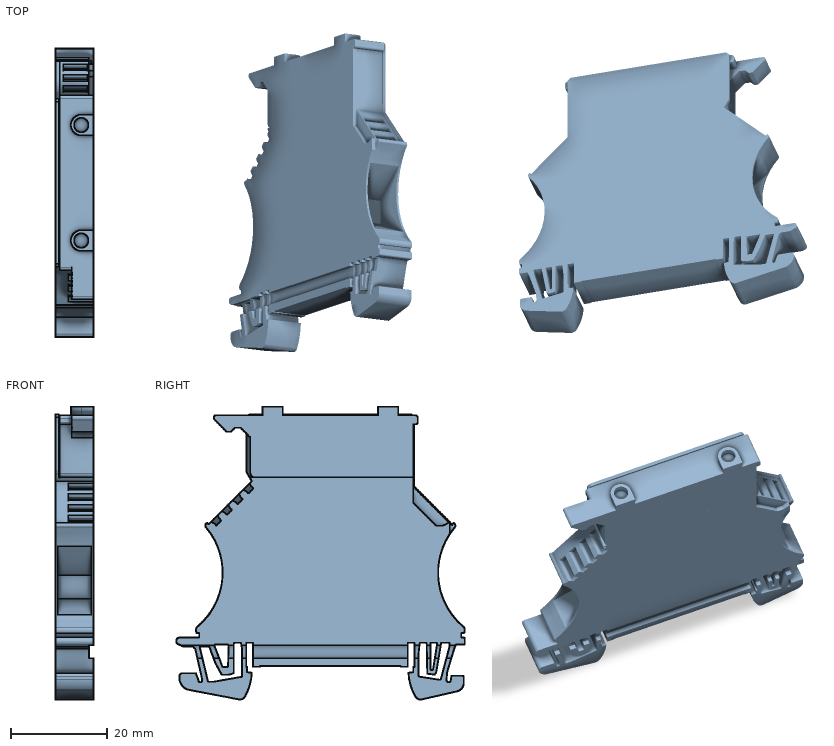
import cadquery as cq
import math

WIDTH = 7.9
TOTAL_HEIGHT = 60.94
WALL = 0.7
WALL_GAP = 0.15
INSET = 0.2

TOP_HALF = 17.45
WALL_TOP = 59.35
WALL_CORNER = 0.65
SHOULDER_SUM = 61.75
NECK_Y = 16.35
UNDERCUT_TOP_Z = 47.6
UNDERCUT_ROUND_MIDDLE = (-17.4, 47.25)
UNDERCUT_ROUND_END = (-17.25, 47.0)
UNDERCUT_BEND = (-16.65, 45.95)

NIB_ROOT_Y = 25.3
NIB_RISE = 0.3
NIB_TIP = (25.88, 36.55)
NIB_LOW_Z = 35.95

GRIP_RADIUS = 14.6
GRIP_MID_Y = 22.4
GRIP_MID_Z = 26.4
GRIP_CENTER_Y = GRIP_MID_Y + GRIP_RADIUS

RIM_Y = 27.95
RIM_TOP_Z = 15.1
NOTCH_Y = 27.25
NOTCH_TOP_Z = 13.85
NOTCH_LOW_Z = 12.95
LIP_ROUND = 0.3
CORE_BOTTOM_Z = 11.45

SKIRT_HALF = 16.1
SKIRT_BOTTOM_Z = 6.85
SKIRT_PAD = 1.5
SKIRT_PAD_HEIGHT = 0.15
SLOT_TOP_Z = 11.85
SLOT_ROUND = 0.15
LEG_Y = 17.45

FUNNEL_X = (0.45, 7.45)
FUNNEL_BACK_Y = 16.0
FUNNEL_CEILING_Z = (31.9, 25.9)
FUNNEL_FLOOR_Z = (17.65, 21.0)

GROOVE_FIRST_Z = 37.65
GROOVE_PITCH_Z = 2.22
GROOVE_MOUTH = 1.9
GROOVE_FLARE = 0.22
GROOVE_FLARE_DEPTH = 0.7
GROOVE_DEPTH = 1.3
GROOVE_X_FRONT = (2.6, WIDTH)
GROOVE_X_BACK = (1.6, 6.6)
GROOVE_COUNT_FRONT = 4
GROOVE_COUNT_BACK = 3

STEP_X = 6.95
STEP_DROP = 3.6
STEP_FLAT_Y = (22.0, 23.3)
STEP_END_Y = 24.8
STEP_ROUND_MIDDLE = 0.35

SIDE_GROOVE_X = 7.0
SIDE_GROOVE_Z = (8.65, 11.3)

MODULE_BOTTOM_Z = 46.2
MODULE_X = WALL + WALL_GAP
MODULE_BACK_Y = TOP_HALF - INSET
MODULE_FRONT_Y = -16.6
MODULE_FOOT_ROUND = 0.9
MODULE_TOP = WALL_TOP - INSET
RIB_HALF = 18.2
RIB_BOTTOM_Z = 57.25
RIB_TOP_ROUND = 0.6
RIB_BOTTOM_ROUND = 0.4
LATCH_X = 3.4
SOCKET_Y = 12.0
SOCKET_X = 5.35
SOCKET_RADIUS = 2.15
SOCKET_HOLE_RADIUS = 1.5

CLEAR = 5.0


def prism(points, x_start, x_end):
    """Straight-sided (y, z) outline extruded along X."""
    plane = cq.Workplane("YZ", origin=(x_start, 0, 0))
    return plane.polyline(points).close().extrude(x_end - x_start)


def box(x_range, y_range, z_range):
    size = [high - low for low, high in (x_range, y_range, z_range)]
    corner = (x_range[0], y_range[0], z_range[0])
    return cq.Workplane("XY").box(*size, centered=False).translate(corner)


def shoulder_z(y):
    return SHOULDER_SUM - abs(y)


def flip(points, side):
    return [(side * y, z) for y, z in points]


def grip_y(z):
    """Y of the +Y grip surface at height z."""
    return GRIP_CENTER_Y - math.sqrt(GRIP_RADIUS ** 2 - (z - GRIP_MID_Z) ** 2)


def end_half(side):
    """Half of the plate at one end: shoulder, nib, grip and rim."""
    nib_low = (grip_y(NIB_LOW_Z), NIB_LOW_Z)
    rim_top = (grip_y(RIM_TOP_Z), RIM_TOP_Z)
    root_z = shoulder_z(NIB_ROOT_Y)
    half = (
        cq.Workplane("YZ")
        .moveTo(0, CORE_BOTTOM_Z)
        .lineTo(0, shoulder_z(NECK_Y))
        .lineTo(NECK_Y, shoulder_z(NECK_Y))
        .lineTo(NIB_ROOT_Y, root_z)
        .lineTo(NIB_ROOT_Y + NIB_RISE, root_z + NIB_RISE)
        .threePointArc(NIB_TIP, nib_low)
        .threePointArc((GRIP_MID_Y, GRIP_MID_Z), rim_top)
        .threePointArc((RIM_Y, (RIM_TOP_Z + NOTCH_TOP_Z) / 2), (rim_top[0], NOTCH_TOP_Z))
        .lineTo(NOTCH_Y, NOTCH_TOP_Z)
        .lineTo(NOTCH_Y, CORE_BOTTOM_Z)
        .close()
        .extrude(WIDTH)
    )
    return half if side > 0 else half.mirror("XZ")


def upper_wall():
    """Straight upper part, chamfered on top and undercut on the -Y side."""
    return (
        cq.Workplane("YZ")
        .moveTo(TOP_HALF, WALL_TOP - WALL_CORNER)
        .lineTo(TOP_HALF, shoulder_z(TOP_HALF))
        .lineTo(NECK_Y, shoulder_z(NECK_Y))
        .lineTo(-NECK_Y, shoulder_z(NECK_Y))
        .lineTo(*UNDERCUT_BEND)
        .lineTo(*UNDERCUT_ROUND_END)
        .threePointArc(UNDERCUT_ROUND_MIDDLE, (-TOP_HALF, UNDERCUT_TOP_Z))
        .lineTo(-TOP_HALF, WALL_TOP - WALL_CORNER)
        .lineTo(-TOP_HALF + WALL_CORNER, WALL_TOP)
        .lineTo(TOP_HALF - WALL_CORNER, WALL_TOP)
        .close()
        .extrude(WIDTH)
    )


def skirt():
    """Plate between the feet, relieved between two low pads."""
    pad_gap = SKIRT_HALF - SKIRT_PAD
    body = box((0, WIDTH), (-SKIRT_HALF, SKIRT_HALF), (SKIRT_BOTTOM_Z, CORE_BOTTOM_Z))
    relief = box((0, WIDTH), (-pad_gap, pad_gap), (SKIRT_BOTTOM_Z, SKIRT_BOTTOM_Z + SKIRT_PAD_HEIGHT))
    return body.cut(relief)


def core():
    back_lip = box((0, WIDTH), (SKIRT_HALF, RIM_Y), (CORE_BOTTOM_Z, NOTCH_LOW_Z))
    back_lip = back_lip.edges("|X and >Y").fillet(LIP_ROUND)
    return end_half(1).union(end_half(-1)).union(upper_wall()).union(skirt()).union(back_lip)


def back_foot():
    """Foot at the +Y end: two legs that carry a hooked jaw."""
    return (
        cq.Workplane("YZ")
        .moveTo(26.2, NOTCH_LOW_Z)
        .lineTo(26.1, CORE_BOTTOM_Z)
        .lineTo(25.75, 10.6)
        .lineTo(24.3, 5.8)
        .lineTo(24.15, 4.1)
        .threePointArc((24.6, 3.65), (25.0, 4.1))
        .lineTo(25.15, 5.0)
        .lineTo(27.4, 5.0)
        .threePointArc((27.65, 4.9), (27.75, 4.65))
        .lineTo(27.75, 3.4)
        .threePointArc((27.3, 2.35), (26.2, 1.7))
        .lineTo(18.75, 0.0)
        .threePointArc((18.05, 0.25), (17.55, 0.85))
        .threePointArc((16.7, 2.8), (16.2, 5.65))
        .lineTo(17.2, 5.75)
        .lineTo(17.2, 7.8)
        .lineTo(LEG_Y, 8.0)
        .lineTo(LEG_Y, NOTCH_LOW_Z)
        .close()
        .extrude(WIDTH)
    )


def back_foot_slots():
    """Openings of the +Y foot, around and inside its hanging middle tongue."""
    around = [
        (24.8, SLOT_TOP_Z), (23.05, SLOT_TOP_Z), (22.0, 5.6), (21.6, 5.2), (20.1, 5.4), (20.0, SLOT_TOP_Z),
        (18.6, SLOT_TOP_Z), (18.35, 9.6), (18.35, 4.85), (22.9, 4.15), (24.7, 10.9),
    ]
    inside = [(22.2, SLOT_TOP_Z), (20.85, SLOT_TOP_Z), (20.85, 6.2), (21.3, 6.2)]
    return [around, inside]


def front_foot():
    """Foot at the -Y end, with the release tab above it."""
    return (
        cq.Workplane("YZ")
        .moveTo(-LEG_Y, NOTCH_LOW_Z)
        .lineTo(-31.4, NOTCH_LOW_Z)
        .threePointArc((-32.05, 12.2), (-31.4, 11.45))
        .lineTo(-30.6, 11.05)
        .lineTo(-28.6, 11.05)
        .lineTo(-28.1, 10.6)
        .lineTo(-26.8, 4.85)
        .lineTo(-26.65, 4.0)
        .threePointArc((-27.0, 3.65), (-27.4, 4.1))
        .lineTo(-27.95, 5.55)
        .lineTo(-30.75, 5.55)
        .threePointArc((-31.2, 5.35), (-31.4, 4.85))
        .lineTo(-31.4, 4.25)
        .threePointArc((-30.9, 3.05), (-29.7, 2.1))
        .lineTo(-18.75, 0.0)
        .threePointArc((-18.2, 0.2), (-17.75, 0.6))
        .threePointArc((-16.8, 2.8), (-16.3, 5.65))
        .lineTo(-17.3, 5.75)
        .lineTo(-17.3, 7.8)
        .lineTo(-LEG_Y, 8.0)
        .close()
        .extrude(WIDTH)
    )


def front_foot_slots():
    """Openings of the -Y foot, around and inside its hanging middle tongue."""
    around = [
        (-18.6, SLOT_TOP_Z), (-20.05, SLOT_TOP_Z), (-20.05, 5.5), (-21.2, 5.15), (-22.6, 5.2), (-23.85, 7.5),
        (-25.2, 11.05), (-27.15, 11.05), (-25.4, 3.75), (-24.4, 3.75), (-18.4, 4.8), (-18.4, 10.7),
    ]
    inside = [(-21.15, 11.45), (-24.15, 11.45), (-22.4, 6.85), (-21.3, 6.85)]
    return [around, inside]


def leg_slot(side):
    """Slot between the skirt and the inner leg of a foot."""
    y_range = sorted((side * SKIRT_HALF, side * LEG_Y))
    return box((-CLEAR, WIDTH + CLEAR), y_range, (SKIRT_BOTTOM_Z, SLOT_TOP_Z))


def funnel(side):
    """Tapered cable entry that narrows from the grip towards the middle."""
    outline = [
        (grip_y(FUNNEL_CEILING_Z[0]), FUNNEL_CEILING_Z[0]),
        (FUNNEL_BACK_Y, FUNNEL_CEILING_Z[1]),
        (FUNNEL_BACK_Y, FUNNEL_FLOOR_Z[1]),
        (grip_y(FUNNEL_FLOOR_Z[0]), FUNNEL_FLOOR_Z[0]),
        (RIM_Y, FUNNEL_FLOOR_Z[0]),
        (RIM_Y, FUNNEL_CEILING_Z[0]),
    ]
    return prism(flip(outline, side), *FUNNEL_X)


def shoulder_groove(side, z_middle, x_range):
    """Groove square to the 45 degree shoulder, with a flared mouth."""
    mouth = GROOVE_MOUTH / 2
    floor = mouth - GROOVE_FLARE
    section = [
        (mouth, 0), (floor, GROOVE_FLARE_DEPTH), (floor, GROOVE_DEPTH),
        (-floor, GROOVE_DEPTH), (-floor, GROOVE_FLARE_DEPTH), (-mouth, 0),
        (-mouth, -GROOVE_DEPTH), (mouth, -GROOVE_DEPTH),
    ]
    y_middle = SHOULDER_SUM - z_middle
    diagonal = math.sqrt(0.5)
    outline = [
        (y_middle - (along + depth) * diagonal, z_middle + (along - depth) * diagonal)
        for along, depth in section
    ]
    return prism(flip(outline, side), *x_range)


def shoulder_relief():
    """Lowers the +Y shoulder behind the side wall by the inset."""
    outline = [
        (MODULE_BACK_Y, MODULE_BOTTOM_Z),
        (MODULE_BACK_Y, shoulder_z(MODULE_BACK_Y) - INSET),
        (NIB_ROOT_Y, shoulder_z(NIB_ROOT_Y) - INSET),
        (NIB_ROOT_Y, shoulder_z(NIB_ROOT_Y)),
        (TOP_HALF + CLEAR, MODULE_BOTTOM_Z),
    ]
    return prism(outline, MODULE_X, WIDTH)


def shoulder_step():
    """Step at the +X end of the +Y shoulder, which also removes the nib there."""
    flat_start, flat_end = STEP_FLAT_Y
    flat_z = shoulder_z(flat_start) - STEP_DROP
    round_end = (STEP_END_Y, shoulder_z(STEP_END_Y))
    round_middle = ((flat_end + STEP_END_Y) / 2, flat_z + STEP_ROUND_MIDDLE)
    return (
        cq.Workplane("YZ", origin=(STEP_X, 0, 0))
        .moveTo(MODULE_BACK_Y, MODULE_BOTTOM_Z)
        .lineTo(MODULE_BACK_Y, shoulder_z(MODULE_BACK_Y) - STEP_DROP)
        .lineTo(flat_start, flat_z)
        .lineTo(flat_end, flat_z)
        .threePointArc(round_middle, round_end)
        .lineTo(STEP_END_Y, GRIP_MID_Z)
        .lineTo(RIM_Y, GRIP_MID_Z)
        .lineTo(RIM_Y, MODULE_BOTTOM_Z)
        .close()
        .extrude(WIDTH)
    )


def make_housing():
    body = core().union(back_foot()).union(front_foot())
    for outline in back_foot_slots() + front_foot_slots():
        body = body.cut(prism(outline, 0, WIDTH).edges("|X").fillet(SLOT_ROUND))
    body = body.cut(shoulder_relief())
    for side in (-1, 1):
        body = body.cut(leg_slot(side))
        body = body.cut(funnel(side))
    groove_rows = [(-1, GROOVE_COUNT_FRONT, GROOVE_X_FRONT), (1, GROOVE_COUNT_BACK, GROOVE_X_BACK)]
    for side, count, x_range in groove_rows:
        for index in range(count):
            z_middle = GROOVE_FIRST_Z + index * GROOVE_PITCH_Z
            body = body.cut(shoulder_groove(side, z_middle, x_range))
    body = body.cut(shoulder_step())
    reach = 2 * RIM_Y
    body = body.cut(box((SIDE_GROOVE_X, WIDTH + CLEAR), (-reach, reach), SIDE_GROOVE_Z))
    module_space = box((WALL, WIDTH + CLEAR), (-reach, reach), (MODULE_BOTTOM_Z, TOTAL_HEIGHT))
    return body.cut(module_space)


def make_latch():
    """Lever on the -Y end, with a catch below its rounded tip."""
    return (
        cq.Workplane("YZ", origin=(LATCH_X, 0, 0))
        .moveTo(MODULE_FRONT_Y, MODULE_TOP)
        .lineTo(-23.6, MODULE_TOP)
        .threePointArc((-24.2, 58.85), (-24.05, 58.2))
        .lineTo(-21.55, 55.65)
        .lineTo(-20.7, 55.65)
        .lineTo(-19.85, 56.5)
        .lineTo(-18.65, 56.5)
        .lineTo(MODULE_FRONT_Y, 54.45)
        .close()
        .extrude(WIDTH - LATCH_X)
    )


def make_module():
    body = box((MODULE_X, WIDTH), (MODULE_FRONT_Y, MODULE_BACK_Y), (MODULE_BOTTOM_Z, MODULE_TOP))
    body = body.edges("|X and <Y and <Z").fillet(MODULE_FOOT_ROUND)
    ribs = box((MODULE_X, WIDTH), (-RIB_HALF, RIB_HALF), (RIB_BOTTOM_Z, MODULE_TOP))
    ribs = ribs.edges("|X and >Z").fillet(RIB_TOP_ROUND).edges("|X and <Z").fillet(RIB_BOTTOM_ROUND)
    body = body.union(ribs).union(make_latch())
    for y in (-SOCKET_Y, SOCKET_Y):
        base = cq.Workplane("XY", origin=(0, y, MODULE_TOP))
        height = TOTAL_HEIGHT - MODULE_TOP
        socket = base.center(SOCKET_X, 0).circle(SOCKET_RADIUS).extrude(height)
        heel = box((SOCKET_X, WIDTH), (y - SOCKET_RADIUS, y + SOCKET_RADIUS), (MODULE_TOP, TOTAL_HEIGHT))
        hole = base.center(SOCKET_X, 0).circle(SOCKET_HOLE_RADIUS).extrude(height)
        body = body.union(socket.union(heel).cut(hole))
    return body


housing = make_housing()
module = make_module()
result = cq.Compound.makeCompound([housing.val(), module.val()])